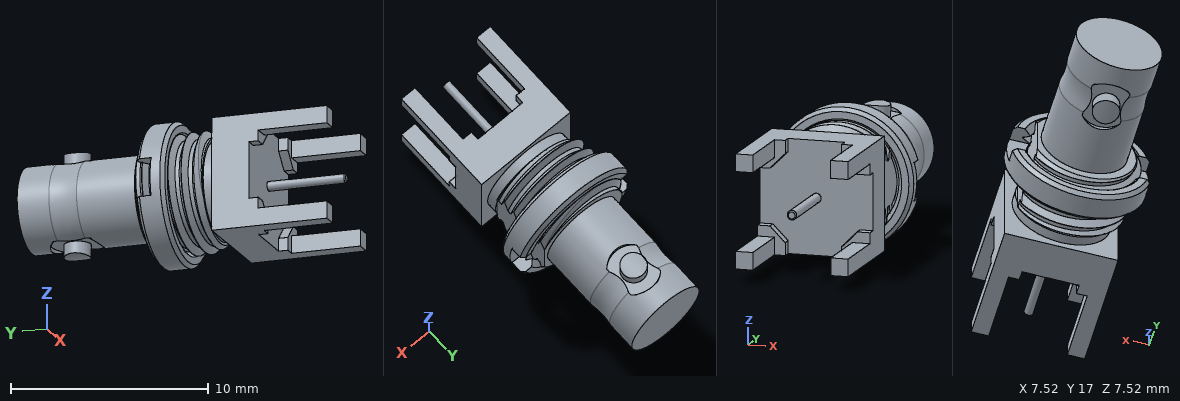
import cadquery as cq
import math


leg_length = 3.7
pin_projection = 0.01
standoff_height = 0.5
block_thickness = 2.0
neck_length = 0.6
thread_length = 3.65
barrel_length = 6.5

block_back_y = standoff_height
block_front_y = block_back_y + block_thickness
thread_start_y = block_front_y + neck_length
thread_end_y = thread_start_y + thread_length
mating_end_y = thread_end_y + barrel_length

block_width = 6.0
leg_width = 0.93
standoff_width = 1.5
standoff_corner_cut = 0.82

barrel_diameter = 4.55
lug_setback = 2.46
lug_y = mating_end_y - lug_setback
lug_diameter = 1.4
lug_tip_span = 5.5
lug_pocket_diameter = 2.74
lug_pocket_floor_z = 2.045
groove_width = 1.49
groove_depth = 0.075

neck_diameter = 5.2
core_diameter = 5.5
thread_diameter = 6.3
millimetres_per_inch = 25.4
threads_per_inch = 36
thread_pitch = millimetres_per_inch / threads_per_inch
thread_half_angle = 30
thread_phase = 0.77
ridge_overlap = 0.05
crest_width = 0.02
keying_flat_x = 2.48

nut_diameter = 7.52
nut_thickness = 1.54
nut_setback = 0.38
nut_front_y = thread_end_y - nut_setback
nut_back_y = nut_front_y - nut_thickness
nut_chamfer = 0.2
nut_bore_mouth_diameter = 6.35
nut_slot_width = 2.0
nut_slot_depth = 0.82

pin_diameter = 0.5
pin_tip_chamfer = 0.07


def cylinder_along_y(diameter, start_y, length):
    """Cylinder on the connector axis, from start_y towards +Y."""
    plane = cq.Workplane("XZ", origin=(0, start_y, 0))
    return plane.circle(diameter / 2).extrude(-length)


def make_mounting_block():
    """Square block with a stepped standoff and a leg at each corner."""
    half = block_width / 2
    back_face = cq.Workplane("XZ", origin=(0, block_back_y, 0))
    block = back_face.rect(block_width, block_width).extrude(-block_thickness)
    for side_x in (-1, 1):
        for side_z in (-1, 1):
            outer_x = side_x * half
            outer_z = side_z * half
            inner_x = side_x * (half - standoff_width)
            inner_z = side_z * (half - standoff_width)
            cut_x = inner_x + side_x * standoff_corner_cut
            cut_z = inner_z + side_z * standoff_corner_cut
            standoff = (
                cq.Workplane("XZ", origin=(0, block_back_y, 0))
                .moveTo(outer_x, outer_z)
                .lineTo(inner_x, outer_z)
                .lineTo(inner_x, cut_z)
                .lineTo(cut_x, inner_z)
                .lineTo(outer_x, inner_z)
                .close()
                .extrude(standoff_height)
            )
            leg_center = half - leg_width / 2
            leg = (
                cq.Workplane("XZ", origin=(0, block_back_y, 0))
                .center(side_x * leg_center, side_z * leg_center)
                .rect(leg_width, leg_width)
                .extrude(standoff_height + leg_length)
            )
            block = block.union(standoff).union(leg)
    return block


def make_barrel():
    """Plain barrel with a shallow arc groove and two lugs standing in flat pockets."""
    radius = barrel_diameter / 2
    barrel = cylinder_along_y(barrel_diameter, thread_end_y, barrel_length)

    groove_low_y = lug_y - groove_width / 2
    groove_high_y = lug_y + groove_width / 2
    rim_radius = radius + groove_depth
    groove = (
        cq.Workplane("XY")
        .moveTo(rim_radius, groove_low_y)
        .lineTo(radius, groove_low_y)
        .threePointArc((radius - groove_depth, lug_y), (radius, groove_high_y))
        .lineTo(rim_radius, groove_high_y)
        .close()
        .revolve(360, (0, 0, 0), (0, 1, 0))
    )
    barrel = barrel.cut(groove)

    for side_z in (-1, 1):
        pocket_plane = cq.Workplane("XY", origin=(0, lug_y, side_z * lug_pocket_floor_z))
        pocket = pocket_plane.circle(lug_pocket_diameter / 2).extrude(side_z * radius)
        barrel = barrel.cut(pocket)

    lug_plane = cq.Workplane("XY", origin=(0, lug_y, 0))
    lug_bar = lug_plane.circle(lug_diameter / 2).extrude(lug_tip_span / 2, both=True)
    lug_tips = cylinder_along_y(lug_tip_span, lug_y - lug_diameter, 2 * lug_diameter)
    return barrel.union(lug_bar.intersect(lug_tips))


def make_thread():
    """Right-hand threaded length with both ends chamfered down to the core."""
    core_radius = core_diameter / 2
    crest_radius = thread_diameter / 2
    root_radius = core_radius - ridge_overlap
    ridge_height = crest_radius - root_radius
    half_crest = crest_width / 2
    half_root = half_crest + ridge_height * math.tan(math.radians(thread_half_angle))

    turns = math.ceil((thread_length + thread_phase + half_root) / thread_pitch)
    helix = cq.Wire.makeHelix(thread_pitch, turns * thread_pitch, root_radius)
    ridge = (
        cq.Workplane("XZ")
        .moveTo(root_radius, -half_root)
        .lineTo(crest_radius, -half_crest)
        .lineTo(crest_radius, half_crest)
        .lineTo(root_radius, half_root)
        .close()
        .sweep(cq.Workplane(obj=helix), isFrenet=True)
        .rotate((0, 0, 0), (1, 0, 0), -90)
        .translate((0, thread_start_y - thread_phase, 0))
    )

    end_chamfer = crest_radius - core_radius
    envelope = cylinder_along_y(thread_diameter, thread_start_y, thread_length)
    envelope = envelope.edges().chamfer(end_chamfer)
    core = cylinder_along_y(core_diameter, thread_start_y, thread_length)
    return core.union(ridge.intersect(envelope))


def make_housing(thread):
    """Mounting block, neck, thread flattened on +X and barrel in one solid."""
    flat_cut = cq.Workplane("XY").box(
        thread_diameter, thread_length, thread_diameter, centered=(False, False, True)
    ).translate((keying_flat_x, thread_start_y, 0))
    neck = cylinder_along_y(neck_diameter, block_front_y, neck_length)
    return make_mounting_block().union(neck).union(thread.cut(flat_cut)).union(make_barrel())


def make_nut(thread):
    """Round nut with chamfered rims, a matching threaded bore and a driver slot across its front."""
    nut = cylinder_along_y(nut_diameter, nut_back_y, nut_thickness).edges().chamfer(nut_chamfer)
    nut = nut.cut(thread)

    mouth_radius = nut_bore_mouth_diameter / 2
    for face_y, inward in ((nut_back_y, 1), (nut_front_y, -1)):
        countersink = (
            cq.Workplane("XY")
            .moveTo(0, face_y)
            .lineTo(mouth_radius, face_y)
            .lineTo(0, face_y + inward * mouth_radius)
            .close()
            .revolve(360, (0, 0, 0), (0, 1, 0))
        )
        nut = nut.cut(countersink)

    slot = cq.Workplane("XY", origin=(0, nut_front_y - nut_slot_depth / 2, 0)).box(
        nut_diameter, nut_slot_depth, nut_slot_width
    )
    return nut.cut(slot)


def make_pin():
    """Contact pin reaching from the block's back face to just past the ends of the legs."""
    pin_length = standoff_height + leg_length + pin_projection
    pin = cylinder_along_y(pin_diameter, block_back_y - pin_length, pin_length)
    return pin.faces("<Y").chamfer(pin_tip_chamfer)


thread = make_thread()
housing = make_housing(thread)
nut = make_nut(thread)
pin = make_pin()

result = cq.Compound.makeCompound([housing.val(), nut.val(), pin.val()])